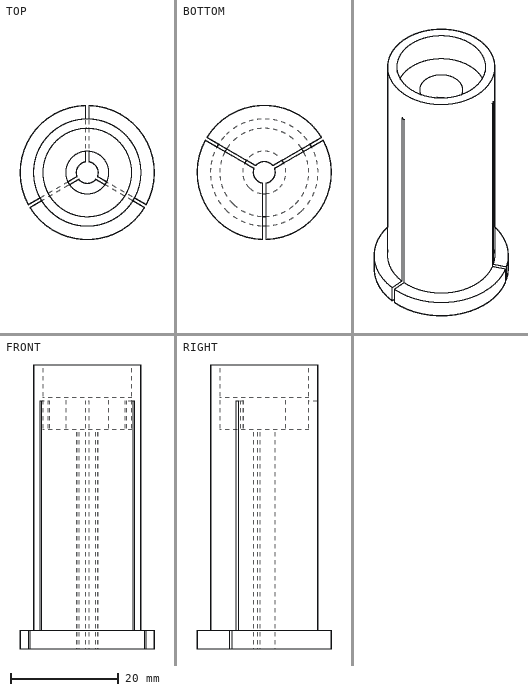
import cadquery as cq

total_height = 52.9
flange_diameter = 25.0
flange_height = 3.5
barrel_diameter = 20.0
bore_diameter = 4.0

pocket_diameter = 16.5
pocket_depth = 12.0
pocket_floor = total_height - pocket_depth

slot_count = 3
slot_width = 0.6
slot_height = 46.2
first_slot_angle = 90.0

ring_hole_diameter = 8.0
ring_height = 6.0


def cylinder(diameter, height, base=0.0):
    return cq.Workplane().workplane(offset=base).circle(diameter / 2).extrude(height)


def make_slot(angle):
    """Radial slot that runs from the axis out past the flange rim."""
    slot = cq.Workplane().box(flange_diameter, slot_width, slot_height, centered=(False, True, False))
    return slot.rotate((0, 0, 0), (0, 0, 1), angle)


def make_collet():
    """Flanged barrel with a through bore, a top pocket and evenly spaced slots."""
    body = cylinder(flange_diameter, flange_height).union(cylinder(barrel_diameter, total_height))
    body = body.cut(cylinder(bore_diameter, total_height))
    body = body.cut(cylinder(pocket_diameter, pocket_depth, pocket_floor))
    for index in range(slot_count):
        body = body.cut(make_slot(first_slot_angle + index * 360.0 / slot_count))
    return body


def make_ring():
    """Plain ring that fills the pocket bore and rests on the pocket floor."""
    outside = cylinder(pocket_diameter, ring_height, pocket_floor)
    return outside.cut(cylinder(ring_hole_diameter, ring_height, pocket_floor))


collet = make_collet()
ring = make_ring()

result = cq.Compound.makeCompound([collet.val(), ring.val()])